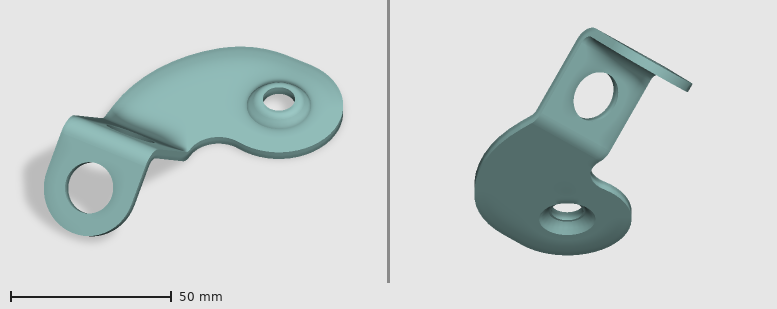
import cadquery as cq
import math

thickness = 3.0
bend_inner = 3.0
bend_outer = bend_inner + thickness
strap_width = 30.0
overall_length = 98.1

eye_radius = 20.0
eye_x = 45.0
eye_y = -eye_radius
sweep_radius = 50.0
sweep_start = 45.0
shoulder_radius = 30.0
bend_start = 50.0
neck_radius = 10.0

strap_hole_diameter = 16.0
boss_base_radius = 10.0
boss_height = 3.0
boss_hole_radius = 5.0
boss_inner_radius = boss_base_radius + thickness - boss_height - thickness * math.sqrt(2)

slope = math.sqrt(0.5)
first_bend_z = bend_outer
leg_start_y = bend_start + bend_inner * slope
leg_start_z = first_bend_z - bend_inner * slope
tip_z = thickness * slope
straight_span = overall_length - leg_start_y - 2 * bend_outer * slope
leg_end_z = (straight_span + leg_start_z + tip_z) / 2
leg_end_y = leg_start_y + leg_end_z - leg_start_z
apex_y = leg_end_y + bend_outer * slope
apex_z = leg_end_z - bend_outer * slope


def make_plate():
    """Flat plate sweeping from the strap to a round eye, with a filleted inner neck."""
    neck_x = strap_width + neck_radius
    center_gap = eye_radius + neck_radius
    neck_y = eye_y - math.sqrt(center_gap**2 - (eye_x - neck_x) ** 2)
    eye_share = eye_radius / center_gap
    tangent_x = eye_x + (neck_x - eye_x) * eye_share
    tangent_y = eye_y + (neck_y - eye_y) * eye_share
    neck_angle = (math.pi + math.atan2(tangent_y - neck_y, tangent_x - neck_x)) / 2
    neck_mid = (
        neck_x + neck_radius * math.cos(neck_angle),
        neck_y + neck_radius * math.sin(neck_angle),
    )
    center_drop = sweep_start - shoulder_radius
    center_distance = sweep_radius - shoulder_radius
    shoulder_x = sweep_radius - math.sqrt(center_distance**2 - center_drop**2)
    join_angle = math.atan2(center_drop, shoulder_x - sweep_radius)

    def sweep_point(angle):
        return (
            sweep_radius + sweep_radius * math.cos(angle),
            -sweep_start + sweep_radius * math.sin(angle),
        )

    shoulder_mid_angle = (join_angle + math.pi / 2) / 2
    shoulder_mid = (
        shoulder_x + shoulder_radius * math.cos(shoulder_mid_angle),
        -shoulder_radius + shoulder_radius * math.sin(shoulder_mid_angle),
    )
    return (
        cq.Workplane("XY")
        .moveTo(0, -bend_start)
        .lineTo(0, -sweep_start)
        .threePointArc(sweep_point((join_angle + math.pi) / 2), sweep_point(join_angle))
        .threePointArc(shoulder_mid, (shoulder_x, 0))
        .lineTo(eye_x, 0)
        .threePointArc((eye_x + eye_radius, eye_y), (tangent_x, tangent_y))
        .threePointArc(neck_mid, (strap_width, neck_y))
        .lineTo(strap_width, -bend_start)
        .close()
        .extrude(thickness)
    )


def make_strap():
    """Bent strap: up at 45 degrees, over a rounded apex and down at 45 degrees."""
    half_turn = math.radians(22.5)
    first_sin = math.sin(half_turn)
    first_cos = math.cos(half_turn)

    def first_bend(radius, across, down):
        return (-bend_start - radius * across, first_bend_z - radius * down)

    def apex(radius, across, up):
        return (-apex_y - radius * across, apex_z + radius * up)

    tip_outer = (-overall_length, tip_z)
    tip_inner = (-overall_length + thickness * slope, tip_z - thickness * slope)
    return (
        cq.Workplane("YZ")
        .moveTo(*first_bend(bend_inner, 0, 1))
        .threePointArc(first_bend(bend_inner, first_sin, first_cos), first_bend(bend_inner, slope, slope))
        .lineTo(*apex(bend_outer, -slope, slope))
        .threePointArc(apex(bend_outer, 0, 1), apex(bend_outer, slope, slope))
        .lineTo(*tip_outer)
        .lineTo(*tip_inner)
        .lineTo(*apex(bend_inner, slope, slope))
        .threePointArc(apex(bend_inner, 0, 1), apex(bend_inner, -slope, slope))
        .lineTo(*first_bend(bend_outer, slope, slope))
        .threePointArc(first_bend(bend_outer, first_sin, first_cos), first_bend(bend_outer, 0, 1))
        .close()
        .extrude(strap_width)
    )


def leg_plane(y, z, normal_y):
    """Plane on a leg's outer face, centred across the strap."""
    return cq.Plane(origin=(strap_width / 2, y, z), xDir=(1, 0, 0), normal=(0, normal_y, 1))


def make_leg_hole(plane):
    return cq.Workplane(plane).circle(strap_hole_diameter / 2).extrude(thickness, both=True)


def make_tip_waste(plane):
    """Corner material outside the full round at the end of the strap."""
    half_width = strap_width / 2
    return (
        cq.Workplane(plane)
        .moveTo(-half_width, 0)
        .threePointArc((0, -half_width), (half_width, 0))
        .lineTo(half_width, -strap_width)
        .lineTo(-half_width, -strap_width)
        .close()
        .extrude(2 * thickness, both=True)
    )


def spin_about_eye(profile):
    return profile.close().revolve(360, (0, 0, 0), (0, 1, 0)).translate((eye_x, eye_y, 0))


def make_boss():
    """Outside of the pressed boss: a 45 degree cone with a rounded rim, solid underneath."""
    top = thickness + boss_height
    rim_radius = thickness
    rim_mid = (
        boss_inner_radius + rim_radius * math.sin(math.radians(22.5)),
        boss_height + rim_radius * math.cos(math.radians(22.5)),
    )
    rim_end = (boss_inner_radius + rim_radius * slope, boss_height + rim_radius * slope)
    return spin_about_eye(
        cq.Workplane("XZ")
        .lineTo(boss_base_radius, 0)
        .lineTo(boss_base_radius, thickness)
        .lineTo(*rim_end)
        .threePointArc(rim_mid, (boss_inner_radius, top))
        .lineTo(0, top)
    )


def make_boss_hollow():
    """Conical hollow pressed up from below, leaving the sheet at an even thickness."""
    return spin_about_eye(
        cq.Workplane("XZ")
        .lineTo(boss_inner_radius + boss_height, 0)
        .lineTo(boss_inner_radius, boss_height)
        .lineTo(0, boss_height)
    )


rising_plane = leg_plane(-(leg_start_y + leg_end_y) / 2, (leg_start_z + leg_end_z) / 2, 1)
round_offset = strap_width / 2 * slope
falling_plane = leg_plane(-overall_length + round_offset, tip_z + round_offset, -1)
boss_hole = cq.Workplane("XY").center(eye_x, eye_y).circle(boss_hole_radius).extrude(thickness + boss_height)

result = make_plate().union(make_strap()).union(make_boss())
result = result.cut(make_tip_waste(falling_plane))
for hole_plane in (rising_plane, falling_plane):
    result = result.cut(make_leg_hole(hole_plane))
result = result.cut(make_boss_hollow()).cut(boss_hole)